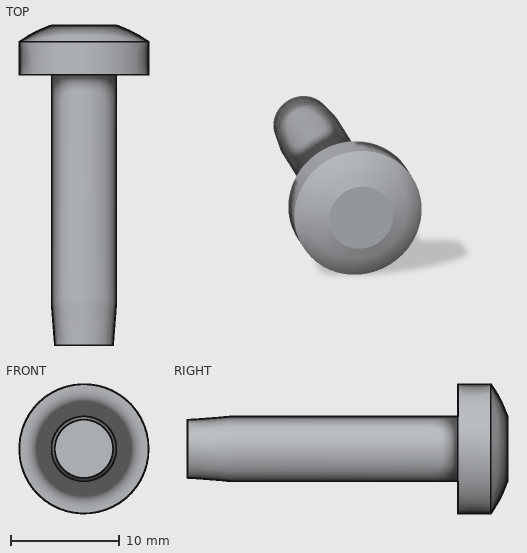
import cadquery as cq

total_length = 29.6
head_diameter = 12.0
shank_diameter = 6.0
tip_diameter = 5.4
crown_diameter = 6.0
rim_height = 3.05
dome_height = 1.55
tip_length = 3.97
dome_bulge = 0.12

head_radius = head_diameter / 2
shank_radius = shank_diameter / 2
tip_radius = tip_diameter / 2
crown_radius = crown_diameter / 2

rim_top = rim_height
head_top = rim_top + dome_height
tip_end = head_top - total_length
taper_start = tip_end + tip_length

chord_run = head_radius - crown_radius
chord_length = (chord_run**2 + dome_height**2) ** 0.5
dome_mid = (
    (head_radius + crown_radius) / 2 + dome_bulge * dome_height / chord_length,
    (rim_top + head_top) / 2 + dome_bulge * chord_run / chord_length,
)

profile = (
    cq.Workplane("XY")
    .moveTo(0, tip_end)
    .lineTo(tip_radius, tip_end)
    .lineTo(shank_radius, taper_start)
    .lineTo(shank_radius, 0)
    .lineTo(head_radius, 0)
    .lineTo(head_radius, rim_top)
    .threePointArc(dome_mid, (crown_radius, head_top))
    .lineTo(0, head_top)
    .close()
)
result = profile.revolve(360, (0, 0, 0), (0, 1, 0))